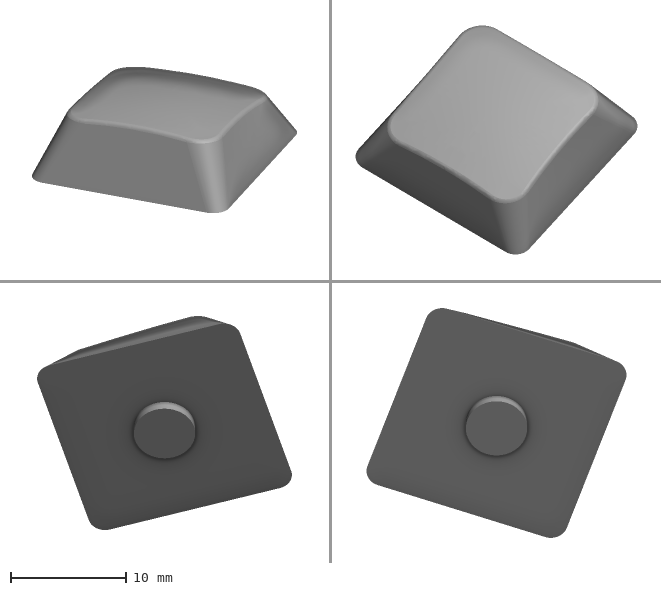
import cadquery as cq
import math

base_side = 18.3
base_corner_radius = 1.46
upper_side = 13.62
upper_corner_radius = 2.55

dome_radius = 53.07
tilt_angle = 6.0
apex_y = 1.1
apex_z = 5.38
upper_shift = -0.55
edge_fillet = 0.5

stem_diameter = 5.3
stem_length = 0.99

tilt = math.radians(tilt_angle)
tilt_axis = cq.Vector(0, math.sin(tilt), math.cos(tilt))
apex = cq.Vector(0, apex_y, apex_z)


def rounded_square(side, corner_radius):
    return cq.Sketch().rect(side, side).vertices().fillet(corner_radius)


def tapered_skirt():
    """Loft from the flat base to the tilted plane that touches the dome at its apex."""
    upper_plane = cq.Plane(origin=apex, xDir=(1, 0, 0), normal=tilt_axis)
    base_outline = rounded_square(base_side, base_corner_radius)
    upper_outline = rounded_square(upper_side, upper_corner_radius).moved(
        cq.Location(cq.Vector(0, upper_shift, 0))
    )
    return cq.Workplane("XY").placeSketch(
        base_outline, upper_outline.moved(upper_plane.location)
    ).loft(ruled=True)


def dome_ball():
    centre = apex - tilt_axis * dome_radius
    return cq.Workplane(cq.Solid.makeSphere(dome_radius, centre, tilt_axis, -90, 90, 360))


body = tapered_skirt().intersect(dome_ball())
body = body.faces(">Z").edges().fillet(edge_fillet)

stem = cq.Workplane("XY").circle(stem_diameter / 2).extrude(-stem_length)
result = body.union(stem)